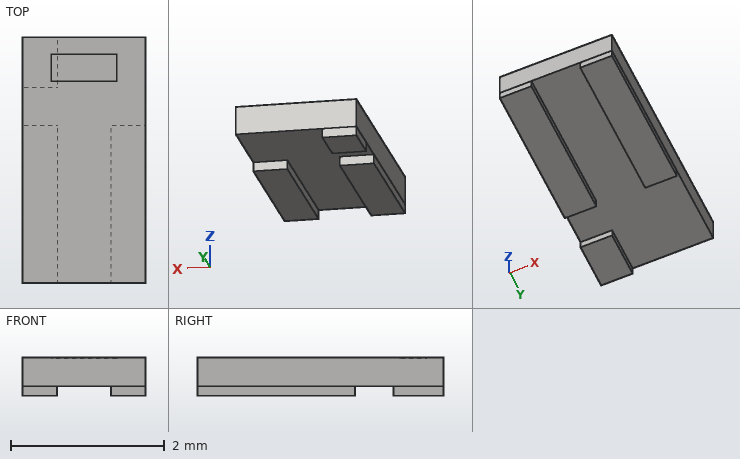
import cadquery as cq

width = 1.6
length = 3.2
height = 0.5

pad_height = 0.12
pad_width = 0.45
short_pad_length = 0.653
pad_gap = 0.495
long_pad_length = length - short_pad_length - pad_gap

marker_width = 0.85
marker_length = 0.35
marker_end_margin = 0.225
marker_depth = 0.01


def block(x_start, y_start, z_start, x_size, y_size, z_size):
    """Box placed by its lowest X, Y and Z corner."""
    return cq.Workplane("XY").box(x_size, y_size, z_size, centered=False).translate((x_start, y_start, z_start))


def make_marker():
    """Thin plate centred across the width, near the +Y end."""
    y_start = length / 2 - marker_end_margin - marker_length
    z_start = height - marker_depth
    return block(-marker_width / 2, y_start, z_start, marker_width, marker_length, marker_depth)


def make_housing(marker_plate):
    """Plain block with a recess that fits the marker."""
    body = block(-width / 2, -length / 2, pad_height, width, length, height - pad_height)
    return body.cut(marker_plate)


def make_pad(x_start, y_start, pad_length):
    """Rectangular terminal pad standing on the base plane."""
    return block(x_start, y_start, 0, pad_width, pad_length, pad_height)


marker = make_marker()
housing = make_housing(marker)

left_edge = -width / 2
right_pad_start = width / 2 - pad_width
short_pad = make_pad(left_edge, length / 2 - short_pad_length, short_pad_length)
long_pads = [make_pad(x_start, -length / 2, long_pad_length) for x_start in (left_edge, right_pad_start)]

result = cq.Compound.makeCompound(
    [housing.val(), marker.val(), short_pad.val(), *[pad.val() for pad in long_pads]]
)